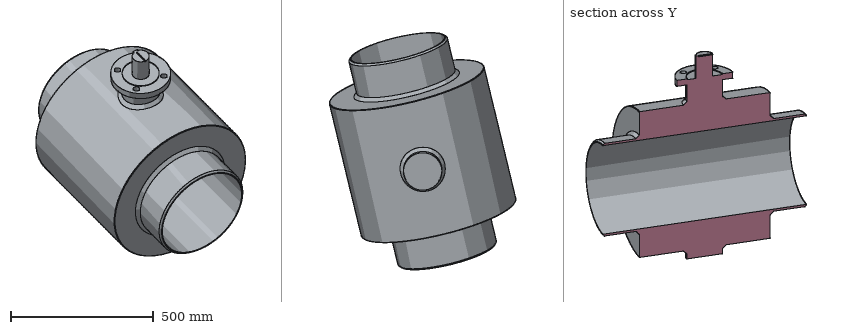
import cadquery as cq
import math

total_length = 762.0
body_length = 491.0
body_diameter = 558.0
body_edge_chamfer = 2.0

pipe_diameter = 355.5
bore_diameter = 336.0
pipe_end_bevel = 6.0
weld_size = 12.0

top_z = 459.0
bottom_z = top_z - 769.5
neck_diameter = 135.0

flange_diameter = 210.0
flange_top_z = 377.0
flange_thickness = 25.0
recess_diameter = 130.0
recess_depth = 3.0
bolt_hole_diameter = 22.0
bolt_circle_diameter = 165.5
bolt_hole_count = 4

stem_diameter = 60.0
key_width = 18.0
key_reach = 34.0
slot_width = 2.0
slot_depth = 4.0
slot_start_x = -23.0

flange_bottom_z = flange_top_z - flange_thickness
recess_floor_z = flange_top_z - recess_depth


def x_cylinder(diameter, length):
    """Cylinder along the flow axis, centred on the origin."""
    return cq.Workplane("YZ").circle(diameter / 2).extrude(length / 2, both=True)


def z_cylinder(diameter, start_z, end_z):
    """Cylinder along the stem axis."""
    return cq.Workplane("XY").workplane(offset=start_z).circle(diameter / 2).extrude(end_z - start_z)


def body_with_necks():
    """Main drum with an upper and a lower neck, each joined by a saddle-shaped weld."""
    drum = x_cylinder(body_diameter, body_length).faces("<X or >X").edges().chamfer(body_edge_chamfer)
    necks = z_cylinder(neck_diameter, bottom_z, flange_bottom_z)
    body = drum.union(necks)
    crown_height = body_diameter / 2
    reach = neck_diameter / 2 + weld_size
    for side in (1, -1):
        corner = (reach, reach, side * (crown_height + weld_size))
        opposite = (-reach, -reach, side * (crown_height - 2 * weld_size))
        joint = cq.selectors.BoxSelector(corner, opposite)
        body = body.edges(joint).chamfer(weld_size)
    return body


def pipe_ends():
    """Weld-end pipe with bevelled ends and a conical weld against each drum face."""
    pipe = x_cylinder(pipe_diameter, total_length).faces("<X or >X").edges().chamfer(pipe_end_bevel)
    weld_length = body_length + 2 * weld_size
    weld_diameter = pipe_diameter + 2 * weld_size
    welds = x_cylinder(weld_diameter, weld_length).faces("<X or >X").edges().chamfer(weld_size)
    return pipe.union(welds)


def mounting_flange():
    """Actuator flange with a shallow recess and a circle of through holes."""
    flange = z_cylinder(flange_diameter, flange_bottom_z, flange_top_z)
    flange = flange.cut(z_cylinder(recess_diameter, recess_floor_z, flange_top_z))
    hole = z_cylinder(bolt_hole_diameter, flange_bottom_z, flange_top_z)
    for index in range(bolt_hole_count):
        angle = math.radians(45 + index * 360 / bolt_hole_count)
        x = bolt_circle_diameter / 2 * math.cos(angle)
        y = bolt_circle_diameter / 2 * math.sin(angle)
        flange = flange.cut(hole.translate((x, y, 0)))
    return flange


def keyed_stem():
    """Stem with a key on the -X side and a position slot in its top, open at +X."""
    stem = z_cylinder(stem_diameter, recess_floor_z, top_z)
    key = cq.Workplane("XY").box(key_reach, key_width, top_z - recess_floor_z, centered=(False, True, False))
    stem = stem.union(key.translate((-key_reach, 0, recess_floor_z)))
    slot_length = stem_diameter / 2 - slot_start_x
    slot = cq.Workplane("XY").box(slot_length, slot_width, slot_depth, centered=(False, True, False))
    return stem.cut(slot.translate((slot_start_x, 0, top_z - slot_depth)))


solid_valve = body_with_necks().union(pipe_ends()).union(mounting_flange()).union(keyed_stem())
result = solid_valve.cut(x_cylinder(bore_diameter, total_length))